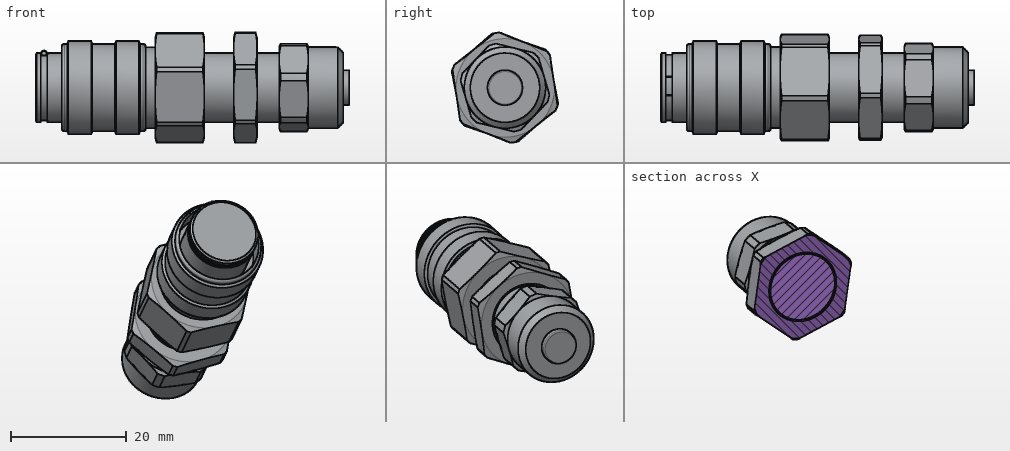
import cadquery as cq
import math

length = 54.15

plug_d = 12.0
plug_face_d = 11.15
plug_chamfer_length = 0.2
groove_d = 11.4
groove_start = 0.9
groove_width = 1.15

clip_disc_d = 1.0
clip_disc_thickness = 0.1
clip_disc_spacing = 3.2
clip_disc_height = 5.85
clip_disc_x = 1.45
clip_turn = 2.7

sleeve_start = 4.5
sleeve_end = 19.0
sleeve_d = 15.1
sleeve_bore_d = 14.0
sleeve_bore_depth = 4.35
sleeve_fillet = 0.5
collar_d = 16.15
collar_inset = 1.0
collar_width = 4.35
collar_flank = 0.2

shoulder_d = 14.0
thread_d = 12.0
end_chamfer = 1.05
cap_end = 53.1
tail_d = 6.05
tail_fillet = 0.2

large_flats = 17.0
large_corners = 19.15
body_hex_start = 20.65
body_hex_width = 8.5
body_hex_turn = 10.9
nut_start = 34.15
nut_width = 4.05
nut_turn = 8.2
nut_countersink = 0.45
cap_hex_start = 42.0
cap_hex_width = 5.05
cap_hex_flats = 14.0
cap_hex_corners = 15.5
cap_hex_turn = 16.3
hex_chamfer_length = 0.25


def cylinder(diameter, start, end):
    """Cylinder on the X axis between two positions."""
    return cq.Workplane("YZ", origin=(start, 0, 0)).circle(diameter / 2).extrude(end - start)


def hexagon(flats, corners, start, width, turn):
    """Hexagonal prism on the X axis with rounded corners and coned ends."""
    prism = (
        cq.Workplane("YZ", origin=(start, 0, 0))
        .polygon(6, flats / math.cos(math.pi / 6))
        .extrude(width)
        .rotate((0, 0, 0), (1, 0, 0), 90 + turn)
    )
    end = start + width
    barrel = (
        cq.Workplane("XY")
        .moveTo(start, 0)
        .lineTo(start, flats / 2)
        .lineTo(start + hex_chamfer_length, corners / 2)
        .lineTo(end - hex_chamfer_length, corners / 2)
        .lineTo(end, flats / 2)
        .lineTo(end, 0)
        .close()
        .revolve(360, (0, 0, 0), (1, 0, 0))
    )
    return prism.intersect(barrel)


def plug():
    """Plug with a chamfered face, a clip groove and the two clip ends."""
    face_step = (plug_d - plug_face_d) / 2
    body = cylinder(plug_d, 0, sleeve_end).faces("<X").chamfer(plug_chamfer_length, face_step)
    groove_end = groove_start + groove_width
    groove = cylinder(plug_d, groove_start, groove_end).cut(cylinder(groove_d, groove_start, groove_end))
    body = body.cut(groove)
    for side in (-1, 1):
        disc = (
            cq.Workplane("XZ", origin=(0, side * clip_disc_spacing / 2, 0))
            .center(clip_disc_x, clip_disc_height)
            .circle(clip_disc_d / 2)
            .extrude(clip_disc_thickness / 2, both=True)
            .rotate((0, 0, 0), (1, 0, 0), -clip_turn)
        )
        body = body.union(disc)
    return body


def collar(start):
    """Raised ring on the sleeve with steep conical flanks."""
    end = start + collar_width
    return (
        cq.Workplane("XY")
        .moveTo(start, 0)
        .lineTo(start, sleeve_d / 2)
        .lineTo(start + collar_flank, collar_d / 2)
        .lineTo(end - collar_flank, collar_d / 2)
        .lineTo(end, sleeve_d / 2)
        .lineTo(end, 0)
        .close()
        .revolve(360, (0, 0, 0), (1, 0, 0))
    )


def sleeve():
    """Grip sleeve with two collars and an open bore around the plug."""
    front = sleeve_start + collar_inset
    back = sleeve_end - collar_inset - collar_width
    body = cylinder(sleeve_d, sleeve_start, sleeve_end).edges().fillet(sleeve_fillet)
    body = body.union(collar(front)).union(collar(back))
    bore = cylinder(sleeve_bore_d, sleeve_start, sleeve_start + sleeve_bore_depth)
    return body.cut(bore)


def coupling_body():
    """Everything but the lock nut, as one solid."""
    cap_hex_end = cap_hex_start + cap_hex_width
    cap = cylinder(shoulder_d, cap_hex_end, cap_end).faces(">X").chamfer(end_chamfer)
    tail = cylinder(tail_d, cap_end, length).faces(">X").edges().fillet(tail_fillet)
    return (
        sleeve()
        .union(plug())
        .union(cylinder(shoulder_d, sleeve_end, body_hex_start))
        .union(hexagon(large_flats, large_corners, body_hex_start, body_hex_width, body_hex_turn))
        .union(cylinder(thread_d, body_hex_start + body_hex_width, cap_hex_start))
        .union(hexagon(cap_hex_flats, cap_hex_corners, cap_hex_start, cap_hex_width, cap_hex_turn))
        .union(cap)
        .union(tail)
    )


def lock_nut():
    """Hexagonal nut around the thread, its bore countersunk at both ends."""
    blank = hexagon(large_flats, large_corners, nut_start, nut_width, nut_turn)
    nut = blank.cut(cylinder(thread_d, nut_start, nut_start + nut_width))
    return nut.faces("<X or >X").edges(cq.selectors.RadiusNthSelector(0)).chamfer(nut_countersink)


result = cq.Compound.makeCompound([coupling_body().val(), lock_nut().val()])